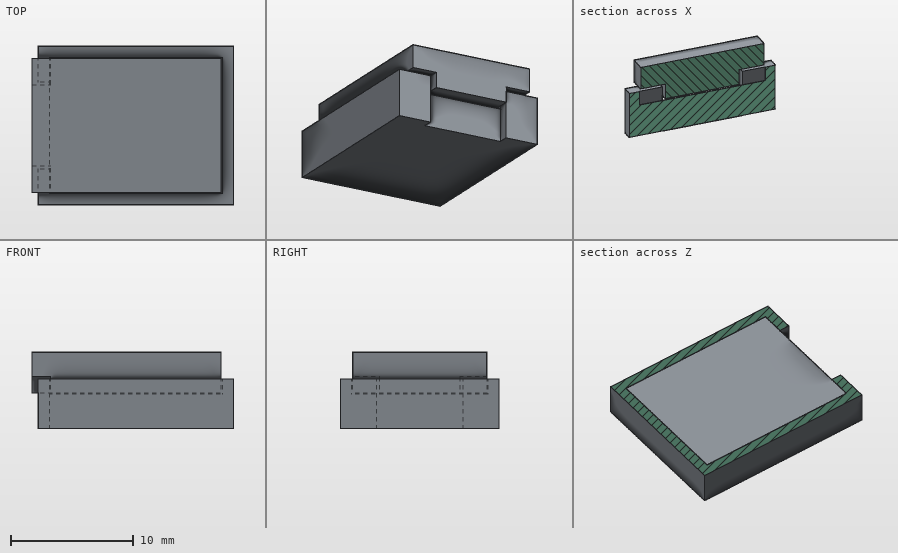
import cadquery as cq

case_length = 16.0
case_width = 13.0
case_height = 4.08
wall = 0.92
cavity_floor_z = 2.84
notch_width = 7.11
clearance = 0.08

lid_overhang = 0.5
lid_top_z = 6.27
tongue_width = 6.6
wall_gap = 0.18

cavity_start = wall
cavity_end = case_length - wall
cavity_width = case_width - 2 * wall

lid_start = -lid_overhang
lid_end = cavity_end - clearance
lid_width = cavity_width - 2 * clearance
lid_bottom_z = cavity_floor_z + clearance
corner_end = cavity_start + clearance
corner_top_z = case_height + wall_gap


def block(x_start, x_end, width, z_bottom, z_top, y_center=0.0):
    """Box between two X and two Z limits, centred on y_center."""
    return (
        cq.Workplane("XY", origin=((x_start + x_end) / 2, y_center, z_bottom))
        .rect(x_end - x_start, width)
        .extrude(z_top - z_bottom)
    )


def make_case():
    """Case with a shallow cavity and a full-height notch in its -X wall."""
    body = block(0, case_length, case_width, 0, case_height)
    cavity = block(cavity_start, cavity_end, cavity_width, cavity_floor_z, case_height)
    notch = block(0, cavity_start, notch_width, 0, case_height)
    return body.cut(cavity).cut(notch)


def make_lid():
    """Lid whose -X corners are cut away, leaving a tongue for the notch."""
    lid = block(lid_start, lid_end, lid_width, lid_bottom_z, lid_top_z)
    corner_width = (lid_width - tongue_width) / 2
    corner_y = (tongue_width + corner_width) / 2
    for side in (-1, 1):
        corner = block(lid_start, corner_end, corner_width, lid_bottom_z, corner_top_z, side * corner_y)
        lid = lid.cut(corner)
    return lid


case = make_case()
lid = make_lid()
result = cq.Compound.makeCompound([*case.solids().vals(), *lid.solids().vals()])